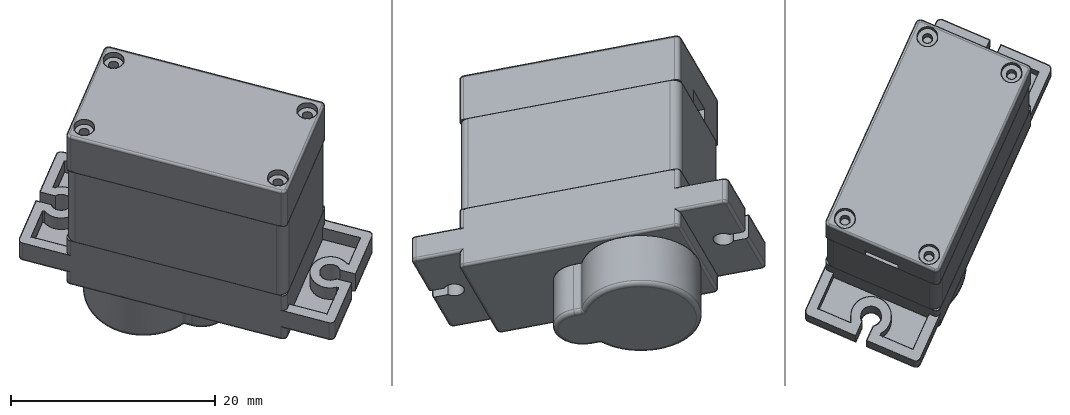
import cadquery as cq
import math

case_length = 22.7
case_depth = 12.2
overall_height = 28.35
corner_radius = 0.5
rim_fillet = 0.25
case_wall = 0.98

base_bottom = 5.75
flange_bottom = 7.5
flange_top = 10.25
base_top = 12.48
cap_bottom = 23.08

middle_corner_radius = 0.98

flange_length = 32.5
flange_fillet = 0.3
flange_wall = 1.0
flange_pocket_depth = 1.75
screw_offset = 13.85
screw_hole_radius = 1.0
screw_collar_radius = 1.98
screw_slot_width = 1.17

boss_radius = 5.88
boss_center_x = -5.35
idler_radius = 2.9
idler_center_x = 0.6
boss_fillet = 0.45
boss_blend = 0.15

cap_screw_x = 9.98
cap_screw_y = 4.5
cap_screw_radius = 0.5
cap_screw_depth = 2.0
counterbore_radius = 1.0
counterbore_depth = 0.75
window_width = 3.5
window_height = 1.5


def rounded_block(length, bottom, top, radius):
    """Block centred on the Z axis with rounded vertical corners."""
    return (
        cq.Workplane("XY", origin=(0, 0, bottom))
        .rect(length, case_depth)
        .extrude(top - bottom)
        .edges("|Z")
        .fillet(radius)
    )


def make_cavity(bottom, height):
    """Rectangular hollow that leaves the case wall all round."""
    return (
        cq.Workplane("XY", origin=(0, 0, bottom))
        .rect(case_length - 2 * case_wall, case_depth - 2 * case_wall)
        .extrude(height)
    )


def make_gear_boss():
    """Round output boss joined to a smaller round-ended boss beside it."""
    main_boss = (
        cq.Workplane("XY")
        .center(boss_center_x, 0)
        .circle(boss_radius)
        .extrude(base_bottom)
    )
    idler_reach = idler_center_x - boss_center_x
    idler_end = cq.Workplane("XY").center(idler_center_x, 0).circle(idler_radius).extrude(base_bottom)
    idler_bridge = (
        cq.Workplane("XY")
        .center(boss_center_x + idler_reach / 2, 0)
        .rect(idler_reach, 2 * idler_radius)
        .extrude(base_bottom)
    )
    boss = main_boss.union(idler_bridge.union(idler_end))
    joint_depth = math.sqrt(boss_radius**2 - idler_radius**2)
    joint_x = boss_center_x + joint_depth
    joints = cq.selectors.BoxSelector(
        (joint_x - boss_blend, -boss_radius, 0),
        (joint_x + boss_blend, boss_radius, base_bottom),
    )
    boss = boss.edges("|Z").edges(joints).fillet(boss_blend)
    return boss.faces("<Z").edges().fillet(boss_fillet)


def make_flange_pocket(side):
    """Recess in the top of one flange, leaving a rim and a screw collar."""
    pocket_start = case_length / 2
    pocket_end = flange_length / 2 - flange_wall
    floor = flange_top - flange_pocket_depth
    pocket = (
        cq.Workplane("XY", origin=(side * (pocket_start + pocket_end) / 2, 0, floor))
        .rect(pocket_end - pocket_start, case_depth - 2 * flange_wall)
        .extrude(flange_pocket_depth)
    )
    collar = (
        cq.Workplane("XY", origin=(side * screw_offset, 0, floor))
        .circle(screw_collar_radius)
        .extrude(flange_pocket_depth)
    )
    lead_in = (
        cq.Workplane("XY", origin=(side * (screw_offset + pocket_end) / 2, 0, floor))
        .rect(pocket_end - screw_offset, screw_slot_width + 2 * flange_wall)
        .extrude(flange_pocket_depth)
    )
    return pocket.cut(collar).cut(lead_in)


def make_screw_slot(side):
    """Screw hole in one flange, open to the flange end through a slot."""
    flange_height = flange_top - flange_bottom
    slot_length = flange_length / 2 - screw_offset
    hole = (
        cq.Workplane("XY", origin=(side * screw_offset, 0, flange_bottom))
        .circle(screw_hole_radius)
        .extrude(flange_height)
    )
    slot = (
        cq.Workplane("XY", origin=(side * (screw_offset + slot_length / 2), 0, flange_bottom))
        .rect(slot_length, screw_slot_width)
        .extrude(flange_height)
    )
    return hole.union(slot)


def make_base():
    """Lower housing with two mounting flanges and the gear boss."""
    flanges = rounded_block(flange_length, flange_bottom, flange_top, corner_radius)
    flanges = flanges.faces("<Z").edges().fillet(flange_fillet)
    for side in (-1, 1):
        flanges = flanges.cut(make_flange_pocket(side)).cut(make_screw_slot(side))
    box = rounded_block(case_length, base_bottom, base_top, corner_radius)
    box = box.faces("<Z").edges().fillet(rim_fillet)
    return box.union(flanges).union(make_gear_boss())


def make_middle_case():
    """Open tube between base and cap, with larger corner rounds."""
    tube = rounded_block(case_length, base_top, cap_bottom, middle_corner_radius)
    return tube.cut(make_cavity(base_top, cap_bottom - base_top))


def make_cap():
    """Top cover with four counterbored screw holes, a shallow hollow and a cable window."""
    cap = rounded_block(case_length, cap_bottom, overall_height, corner_radius)
    cap = cap.faces(">Z").edges().fillet(rim_fillet)
    cap = (
        cap.faces(">Z")
        .workplane(origin=(0, 0, overall_height))
        .rect(2 * cap_screw_x, 2 * cap_screw_y, forConstruction=True)
        .vertices()
        .cboreHole(2 * cap_screw_radius, 2 * counterbore_radius, counterbore_depth, cap_screw_depth)
    )
    window = cq.Workplane("XY").box(
        case_wall, window_width, window_height, centered=(False, True, False)
    )
    cap = cap.cut(make_cavity(cap_bottom, window_height))
    return cap.cut(window.translate((-case_length / 2, 0, cap_bottom)))


base = make_base()
middle_case = make_middle_case()
cap = make_cap()

result = cq.Compound.makeCompound([base.val(), middle_case.val(), cap.val()])